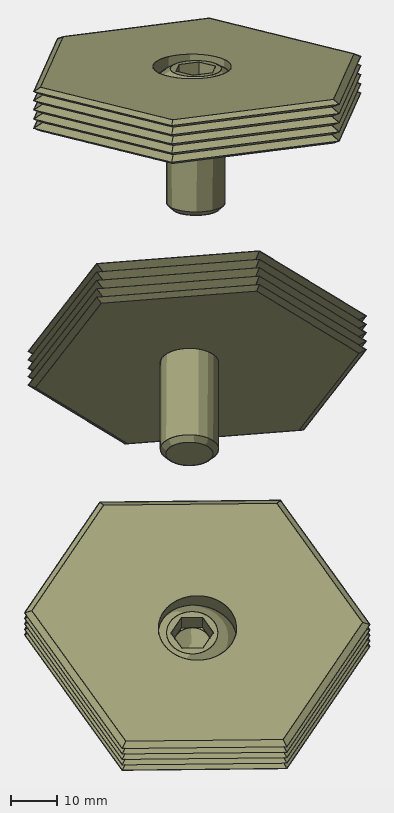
import cadquery as cq
import math

THICKNESS = 10.0
FIRST_SIDE_DISTANCE = 30.0
SIDE_DISTANCE_STEP = 1.0
FIRST_SIDE_ANGLE = 90.0
SIDE_COUNT = 6
BORE_DIAMETER = 17.0

TOOTH_COUNT = 5
TOOTH_PITCH = 2.1
TOOTH_FLANK_ANGLE = 60.0

SCREW_OFFSET_Y = 1.32
SHANK_DIAMETER = 12.7
SHANK_PROJECTION = 22.77
SHANK_TIP_CHAMFER = 1.2
HEAD_DIAMETER = 22.2
HEAD_HEIGHT = 6.4
HEAD_EDGE_HEIGHT = 0.8
HEAD_FLAT_DIAMETER = 11.14
HEAD_RECESS = 0.85
SOCKET_SIDES = 6
SOCKET_ACROSS_FLATS = 8.0
SOCKET_DEPTH = 3.9
SOCKET_TIP_ANGLE = 120.0

HEAD_TOP_Z = THICKNESS - HEAD_RECESS
HEAD_BASE_Z = HEAD_TOP_Z - HEAD_HEIGHT


def hexagon_corners(inset):
    """Corners of the uneven hexagon with every side moved inward by the inset."""
    corner_step = math.radians(360.0 / SIDE_COUNT)
    corners = []
    for side in range(SIDE_COUNT):
        next_side = (side + 1) % SIDE_COUNT
        distance = FIRST_SIDE_DISTANCE + side * SIDE_DISTANCE_STEP - inset
        next_distance = FIRST_SIDE_DISTANCE + next_side * SIDE_DISTANCE_STEP - inset
        angle = math.radians(FIRST_SIDE_ANGLE) + side * corner_step
        along = (next_distance - distance * math.cos(corner_step)) / math.sin(corner_step)
        x = distance * math.cos(angle) - along * math.sin(angle)
        y = distance * math.sin(angle) + along * math.cos(angle)
        corners.append((x, y))
    return corners


def tapered_layer(z_bottom, inset_bottom, z_top, inset_top):
    """Hexagonal slab whose sides slope between two insets."""
    return (
        cq.Workplane("XY", origin=(0, 0, z_bottom))
        .polyline(hexagon_corners(inset_bottom)).close()
        .workplane(offset=z_top - z_bottom)
        .polyline(hexagon_corners(inset_top)).close()
        .loft(ruled=True)
    )


def make_serrated_blank():
    flank_slope = math.tan(math.radians(TOOTH_FLANK_ANGLE))
    end_height = (THICKNESS - (TOOTH_COUNT - 1) * TOOTH_PITCH) / 2
    end_inset = end_height * flank_slope
    valley_inset = TOOTH_PITCH / 2 * flank_slope

    levels = [(0.0, end_inset)]
    for tooth in range(TOOTH_COUNT):
        crest_z = end_height + tooth * TOOTH_PITCH
        levels.append((crest_z, 0.0))
        if tooth < TOOTH_COUNT - 1:
            levels.append((crest_z + TOOTH_PITCH / 2, valley_inset))
    levels.append((THICKNESS, end_inset))

    blank = tapered_layer(*levels[0], *levels[1])
    for lower, upper in zip(levels[1:], levels[2:]):
        blank = blank.union(tapered_layer(*lower, *upper))
    return blank


def make_screw_envelope():
    """Revolved screw without its drive socket."""
    head_radius = HEAD_DIAMETER / 2
    flat_radius = HEAD_FLAT_DIAMETER / 2
    shank_radius = SHANK_DIAMETER / 2
    edge_z = HEAD_BASE_Z + HEAD_EDGE_HEIGHT

    centre_z = (
        (flat_radius**2 + HEAD_TOP_Z**2 - head_radius**2 - edge_z**2)
        / (2 * (HEAD_TOP_Z - edge_z))
    )
    dome_radius = math.hypot(head_radius, edge_z - centre_z)
    middle_radius = (head_radius + flat_radius) / 2
    middle_z = centre_z + math.sqrt(dome_radius**2 - middle_radius**2)

    return (
        cq.Workplane("XZ", origin=(0, SCREW_OFFSET_Y, 0))
        .moveTo(0, -SHANK_PROJECTION)
        .lineTo(shank_radius - SHANK_TIP_CHAMFER, -SHANK_PROJECTION)
        .lineTo(shank_radius, -SHANK_PROJECTION + SHANK_TIP_CHAMFER)
        .lineTo(shank_radius, HEAD_BASE_Z)
        .lineTo(head_radius, HEAD_BASE_Z)
        .lineTo(head_radius, edge_z)
        .threePointArc((middle_radius, middle_z), (flat_radius, HEAD_TOP_Z))
        .lineTo(0, HEAD_TOP_Z)
        .close()
        .revolve(360, (0, 0, 0), (0, 1, 0))
    )


def make_socket():
    """Hexagonal drive socket with a conical bottom."""
    floor_z = HEAD_TOP_Z - SOCKET_DEPTH
    cone_radius = SOCKET_ACROSS_FLATS / 2
    cone_depth = cone_radius / math.tan(math.radians(SOCKET_TIP_ANGLE / 2))
    across_corners = SOCKET_ACROSS_FLATS / math.cos(math.pi / SOCKET_SIDES)
    hexagon = (
        cq.Workplane("XY", origin=(0, SCREW_OFFSET_Y, floor_z))
        .polygon(SOCKET_SIDES, across_corners)
        .extrude(SOCKET_DEPTH)
    )
    cone = cq.Workplane(
        cq.Solid.makeCone(
            cone_radius, 0, cone_depth,
            cq.Vector(0, SCREW_OFFSET_Y, floor_z), cq.Vector(0, 0, -1),
        )
    )
    return hexagon.union(cone)


def make_screw():
    return make_screw_envelope().cut(make_socket())


def make_plate():
    """Serrated plate with an access bore down to a seat that matches the screw."""
    bore = (
        cq.Workplane("XY", origin=(0, 0, HEAD_BASE_Z))
        .circle(BORE_DIAMETER / 2)
        .extrude(THICKNESS - HEAD_BASE_Z)
    )
    return make_serrated_blank().cut(bore).cut(make_screw_envelope())


plate = make_plate()
screw = make_screw()
result = cq.Compound.makeCompound([plate.solids().val(), screw.solids().val()])